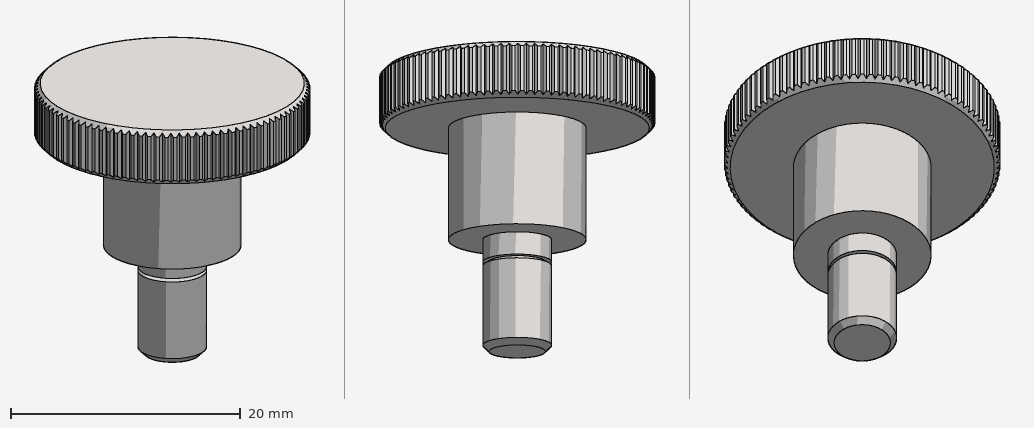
import cadquery as cq
import math

total_height = 25.0
head_diameter = 24.0
head_height = 5.0
boss_diameter = 12.0
boss_height = 10.0
stud_diameter = 6.0

head_chamfer = 0.5
tip_chamfer = 0.55

neck_length = 2.0
undercut_depth = 0.55
undercut_height = 0.32

groove_count = 100
groove_depth = 0.28
groove_angle = 80.0

head_bottom = total_height - head_height
boss_bottom = head_bottom - boss_height
neck_bottom = boss_bottom - neck_length
head_radius = head_diameter / 2
boss_radius = boss_diameter / 2
stud_radius = stud_diameter / 2


def turned_body():
    """Head, boss and stud as one revolved half profile."""
    profile = [
        (0, 0),
        (stud_radius - tip_chamfer, 0),
        (stud_radius, tip_chamfer),
        (stud_radius, neck_bottom - undercut_height),
        (stud_radius - undercut_depth, neck_bottom),
        (stud_radius, neck_bottom),
        (stud_radius, boss_bottom),
        (boss_radius, boss_bottom),
        (boss_radius, head_bottom),
        (head_radius - head_chamfer, head_bottom),
        (head_radius, head_bottom + head_chamfer),
        (head_radius, total_height - head_chamfer),
        (head_radius - head_chamfer, total_height),
        (0, total_height),
    ]
    return cq.Workplane("XZ").polyline(profile).close().revolve(360, (0, 0), (0, 1))


def polar_point(radius, angle):
    """Point at a radius and an angle in radians."""
    return (radius * math.cos(angle), radius * math.sin(angle))


def knurl_envelope():
    """Prism with the grooved outline of the head, one groove centred on +X."""
    pitch = 2 * math.pi / groove_count
    root_radius = head_radius - groove_depth
    half_width = groove_depth * math.tan(math.radians(groove_angle / 2))
    half_groove = math.asin(half_width / head_radius)

    outline = cq.Workplane("XY").workplane(offset=head_bottom).moveTo(root_radius, 0)
    for index in range(groove_count):
        root = index * pitch
        next_root = root + pitch
        outline = outline.lineTo(*polar_point(head_radius, root + half_groove))
        outline = outline.threePointArc(
            polar_point(head_radius, root + pitch / 2),
            polar_point(head_radius, next_root - half_groove),
        )
        if index < groove_count - 1:
            outline = outline.lineTo(*polar_point(root_radius, next_root))
    return outline.close().extrude(head_height)


def knurl_cutter():
    """Ring around the head whose inner wall has the grooved outline."""
    ring = cq.Workplane("XY").workplane(offset=head_bottom).circle(head_radius + groove_depth)
    return ring.extrude(head_height).cut(knurl_envelope())


result = turned_body().cut(knurl_cutter())